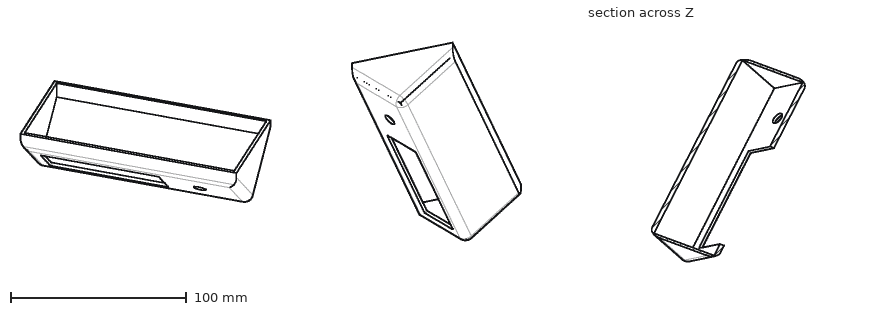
import cadquery as cq
import math

length = 130.0
depth = 60.0
height = 36.4
wall = 2.0
rim_height = 10.0
edge_radius = 5.0
front_angle = 45.0

window_length = 71.0
window_height = 24.0
window_corner_radius = 0.5
window_x = -19.2
hole_diameter = 7.0
hole_x = 38.1
panel_center_drop = 14.2

front_y = -depth / 2
back_y = depth / 2
front_slope = math.tan(math.radians(front_angle))
keel_z = edge_radius - height
keel_drop = -rim_height - keel_z
keel_y = front_y + (keel_drop + edge_radius / math.cos(math.radians(front_angle))) / front_slope
keel_to_back = back_y - keel_y
back_angle = math.degrees(
    math.atan2(keel_drop, keel_to_back) + math.asin(edge_radius / math.hypot(keel_to_back, keel_drop))
)
back_slope = math.tan(math.radians(back_angle))
apex_run = depth * back_slope / (front_slope + back_slope)
apex_y = front_y + apex_run
apex_z = -rim_height - apex_run * front_slope


def inner_corner_z(angle):
    """Height where the inner face of a sloping panel meets its upright wall."""
    return -rim_height + wall * math.tan(math.radians(angle / 2))


def profile_prism(points, prism_length):
    """Extrude a YZ outline symmetrically along X."""
    return cq.Workplane("YZ").polyline(points).close().extrude(prism_length / 2, both=True)


def outer_body():
    body = profile_prism(
        [(front_y, 0), (front_y, -rim_height), (apex_y, apex_z), (back_y, -rim_height), (back_y, 0)],
        length,
    )
    keel_edge = cq.selectors.NearestToPointSelector((0, apex_y, apex_z))
    front_edge = cq.selectors.NearestToPointSelector((0, front_y, -rim_height))
    rounded_edges = keel_edge + front_edge
    for end_x in (-length / 2, length / 2):
        for corner_y in (front_y, back_y):
            middle = (end_x, (corner_y + apex_y) / 2, (apex_z - rim_height) / 2)
            rounded_edges = rounded_edges + cq.selectors.NearestToPointSelector(middle)
    return body.edges(rounded_edges).fillet(edge_radius)


def cavity():
    inner_front_y = front_y + wall
    inner_back_y = back_y - wall
    front_z = inner_corner_z(front_angle)
    back_z = inner_corner_z(back_angle)
    inner_depth = inner_back_y - inner_front_y
    run = (front_z - back_z + inner_depth * back_slope) / (front_slope + back_slope)
    inner_apex = (inner_front_y + run, front_z - run * front_slope)
    return profile_prism(
        [(inner_front_y, 0), (inner_front_y, front_z), inner_apex, (inner_back_y, back_z), (inner_back_y, 0)],
        length - 2 * wall,
    )


def panel_openings():
    angle = math.radians(front_angle)
    panel = cq.Plane(
        origin=(0, front_y + panel_center_drop / front_slope, -rim_height - panel_center_drop),
        xDir=(1, 0, 0),
        normal=(0, -math.sin(angle), -math.cos(angle)),
    )
    cut_reach = 2 * wall
    window = (
        cq.Workplane(panel)
        .center(window_x, 0)
        .rect(window_length, window_height)
        .extrude(cut_reach, both=True)
        .edges(cq.selectors.ParallelDirSelector(panel.zDir))
        .fillet(window_corner_radius)
    )
    hole = cq.Workplane(panel).center(hole_x, 0).circle(hole_diameter / 2).extrude(cut_reach, both=True)
    return window.union(hole)


result = outer_body().cut(cavity()).cut(panel_openings())